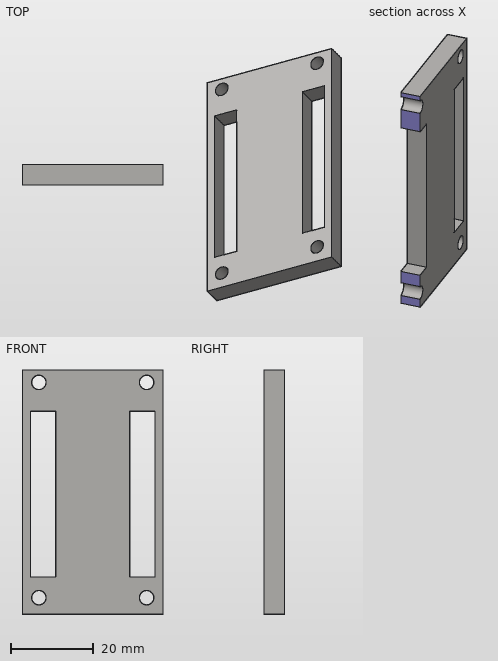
import cadquery as cq

width = 34.0
thickness = 5.0
height = 59.0

hole_diameter = 3.4
hole_spacing_x = 26.0
hole_spacing_z = 52.0
lower_hole_height = 4.0

slot_width = 6.0
slot_length = 40.0
slot_edge_margin = 2.0
slot_bottom_height = 9.0


def front_points(points):
    """Workplane on the front face, with points measured from mid-width and the bottom edge."""
    return cq.Workplane("XZ").pushPoints(points)


def make_plate():
    return front_points([(0, height / 2)]).rect(width, height).extrude(-thickness)


def make_holes():
    hole_x = hole_spacing_x / 2
    upper_hole_height = lower_hole_height + hole_spacing_z
    centers = [(x, z) for x in (-hole_x, hole_x) for z in (lower_hole_height, upper_hole_height)]
    return front_points(centers).circle(hole_diameter / 2).extrude(-thickness)


def make_slots():
    slot_x = width / 2 - slot_edge_margin - slot_width / 2
    slot_z = slot_bottom_height + slot_length / 2
    centers = [(-slot_x, slot_z), (slot_x, slot_z)]
    return front_points(centers).rect(slot_width, slot_length).extrude(-thickness)


result = make_plate().cut(make_holes()).cut(make_slots())